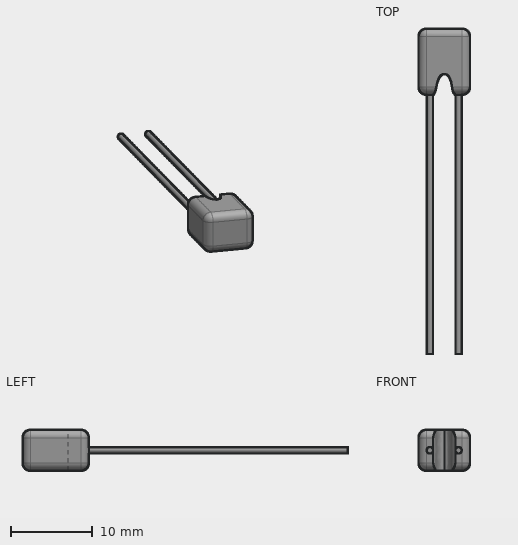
import cadquery as cq

total_length = 39.88
housing_width = 6.35
housing_length = 8.15
housing_height = 5.05
edge_radius = 1.0

slot_depth = 2.55
slot_mouth_half_width = 1.35
slot_waist_half_width = 0.95
slot_crown_half_width = 0.68
slot_crown_height = 2.05

lead_diameter = 0.8
lead_pitch = 3.5
lead_length = total_length - housing_length


def make_slot_cutter():
    """Bell-shaped slot, open at the lead end (Y = 0) and through the full height."""
    side = [
        (0, slot_depth),
        (slot_crown_half_width, slot_crown_height),
        (slot_waist_half_width, edge_radius),
        (slot_mouth_half_width, 0),
    ]
    mirrored_side = [(-x, y) for x, y in reversed(side)]
    apex_direction = (1, 0)
    right_mouth_direction = (1, -1)
    left_mouth_direction = (1, 1)
    return (
        cq.Workplane("XY")
        .workplane(offset=-housing_height / 2)
        .moveTo(*side[0])
        .spline(side[1:], tangents=[apex_direction, right_mouth_direction], includeCurrent=True)
        .lineTo(*mirrored_side[0])
        .spline(mirrored_side[1:], tangents=[left_mouth_direction, apex_direction], includeCurrent=True)
        .close()
        .extrude(housing_height)
    )


def make_housing():
    """Block rounded on every edge, with the lead end at Y = 0."""
    block = (
        cq.Workplane("XY")
        .box(housing_width, housing_length, housing_height, centered=(True, False, True))
        .edges()
        .fillet(edge_radius)
    )
    return block.cut(make_slot_cutter())


def make_lead(x):
    """Straight round wire running in -Y from the end face of one housing leg."""
    return (
        cq.Workplane("XZ")
        .center(x, 0)
        .circle(lead_diameter / 2)
        .extrude(lead_length)
    )


housing = make_housing()
leads = [make_lead(side * lead_pitch / 2) for side in (-1, 1)]

result = cq.Compound.makeCompound([housing.val(), *[lead.val() for lead in leads]])